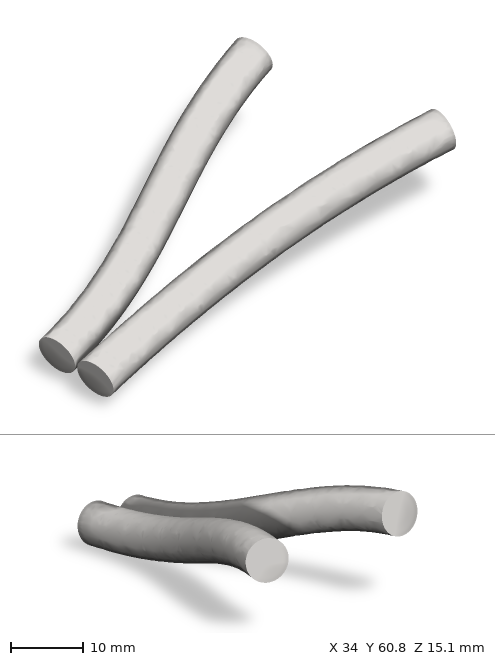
import cadquery as cq

rod_diameter = 6.4
start_spacing = 6.75

left_end_offset = (-6.75, 53.1, 8.7)
right_end_offset = (14.25, 60.0, 6.7)

front_normal = (0, 1, 0)

left_start_direction = (0.02, 1, 0)
right_start_direction = (0.03, 1, -0.02)
left_end_direction = (-0.04, 1, 0.02)
right_end_direction = (0.3, 1, -0.07)


def curved_rod(start_x, end_offset, start_direction, end_direction):
    """Round rod swept along a smooth curve from its front face to its far end."""
    start = cq.Vector(start_x, 0, 0)
    centreline = cq.Workplane("XY").spline(
        [start, start + cq.Vector(*end_offset)],
        tangents=[start_direction, end_direction],
    )
    front_face = cq.Plane(origin=start, xDir=(1, 0, 0), normal=front_normal)
    return cq.Workplane(front_face).circle(rod_diameter / 2).sweep(centreline)


left_rod = curved_rod(-start_spacing / 2, left_end_offset, left_start_direction, left_end_direction)
right_rod = curved_rod(start_spacing / 2, right_end_offset, right_start_direction, right_end_direction)

result = cq.Compound.makeCompound([left_rod.val(), right_rod.val()])